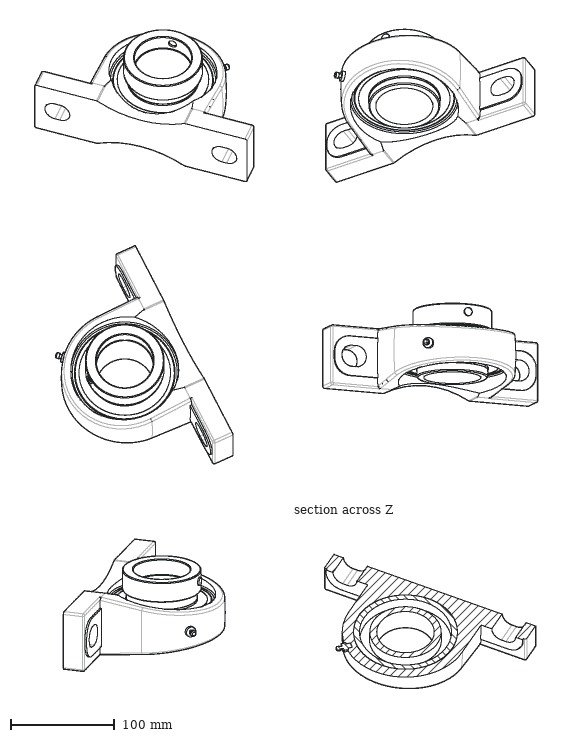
import cadquery as cq
import math


trim_allowance = 2.2

foot_length = 217.5
foot_height = 59.2
foot_bottom_y = -63.5
foot_top_y = -42.5
foot_corner_radius = 2.2
foot_top_radius = 1.7
scoop_floor_z = 18.3
scoop_half_width = 44.8
scoop_edge_radius = 2.6

slot_center_x = 85.5
slot_length = 25.5
slot_width = 20.7
pad_end_x = 105.7
pad_width = 39.0
pad_corner_radius = 16.0
pad_top_y = -40.7

body_radius = 61.3
barrel_radius = 239.2
body_half_height = 24.1
body_edge_radius = 2.6
root_width = 114.8
body_slope = (foot_height / 2 - body_half_height) / -foot_top_y

seat_diameter = 100.0
seat_half_width = 12.5
ledge_diameter = 101.4
opening_diameter = 104.2
opening_floor_z = 13.5
opening_top_z = 43.5

bore_diameter = 55.0
outer_ring_half_width = 12.5
outer_ring_chamfer = 0.7
seal_outer_diameter = 88.3
seal_face_z = 12.8
seal_thickness = 1.7
inner_ring_diameter = 68.5
inner_ring_bottom_z = -22.2
inner_ring_top_z = 27.6
inner_ring_chamfer = 1.0
bore_edge_chamfer = 0.7
shoulder_diameter = 69.4
shoulder_overhang = 1.7

collar_diameter = 76.1
collar_bottom_z = 23.0
collar_top_z = 43.5
collar_chamfer = 0.9
screw_diameter = 8.0
screw_z = 35.5
screw_inner_y = 29.4
screw_outer_y = 39.4

nipple_angle = 45.0
stem_diameter = 5.2
stem_start = 55.5
flange_diameter = 10.0
flange_start = 59.5
flange_end = 64.0
neck_diameter = 4.0
neck_end = 66.5
head_diameter = 5.7
head_end = 70.3
head_chamfer = 1.0


def barrel_half_profile(half_height):
    """XZ outline from the axis out to the slightly barrelled side wall."""
    edge_x = body_radius - barrel_radius + math.sqrt(barrel_radius**2 - half_height**2)
    return (
        cq.Workplane("XZ")
        .moveTo(0, -half_height)
        .lineTo(edge_x, -half_height)
        .threePointArc((body_radius, 0), (edge_x, half_height))
        .lineTo(0, half_height)
        .close()
    )


def make_arched_body():
    """Round top and straight sides, thinning from the foot to the crown."""
    blank_half_height = foot_height / 2 + trim_allowance
    arch = barrel_half_profile(blank_half_height).revolve(360, (0, 0, 0), (0, 1, 0))
    leg = barrel_half_profile(blank_half_height).extrude(-foot_top_y).mirror("YZ", union=True)
    crown_y = body_radius + trim_allowance
    crown_half_height = body_half_height - body_slope * crown_y
    wedge = (
        cq.Workplane("YZ")
        .polyline([
            (foot_top_y, -foot_height / 2),
            (crown_y, -crown_half_height),
            (crown_y, crown_half_height),
            (foot_top_y, foot_height / 2),
        ])
        .close()
        .extrude(foot_length / 2, both=True)
    )
    body = arch.union(leg).intersect(wedge)
    for side in (1, -1):
        sloped_face = cq.selectors.ParallelDirSelector(cq.Vector(0, body_slope, side))
        rim = body.faces(sloped_face).edges("not <Y")
        body = rim.fillet(body_edge_radius)
    return body


def make_scoops(length):
    """Shallow cylinders along Y that hollow both broad sides at the middle."""
    depth = foot_height / 2 - scoop_floor_z
    radius = (scoop_half_width**2 + depth**2) / (2 * depth)
    axis_z = scoop_floor_z + radius
    return (
        cq.Workplane("XZ", origin=(0, foot_bottom_y, 0))
        .pushPoints([(0, axis_z), (0, -axis_z)])
        .circle(radius)
        .extrude(-length)
    )


def make_foot():
    """Base bar with rounded edges and a full-height root under the body, hollowed at mid-length."""
    height_y = foot_top_y - foot_bottom_y
    center_y = (foot_top_y + foot_bottom_y) / 2
    foot = cq.Workplane("XY").box(foot_length, height_y, foot_height).translate((0, center_y, 0))
    foot = foot.edges("|Y").fillet(foot_corner_radius)
    foot = foot.faces(">Y").edges().fillet(foot_top_radius)
    root = cq.Workplane("XY").box(root_width, height_y, foot_height).translate((0, center_y, 0))
    foot = foot.union(root).cut(make_scoops(height_y))
    reach_x = scoop_half_width + trim_allowance
    scoop_zone = cq.selectors.BoxSelector(
        (-reach_x, foot_bottom_y, -foot_height),
        (reach_x, foot_top_y, foot_height),
    )
    return foot.edges("|Y").edges(scoop_zone).fillet(scoop_edge_radius)


def make_pads():
    """Raised pads on top of the foot, running from the body past each slot."""
    pad_height = pad_top_y - foot_top_y
    pad = (
        cq.Workplane("XY")
        .box(2 * pad_end_x, pad_height, pad_width)
        .edges("|Y")
        .fillet(pad_corner_radius)
    )
    return pad.translate((0, foot_top_y + pad_height / 2, 0))


def make_slots():
    """Two elongated bolt holes through the foot and its pads."""
    return (
        cq.Workplane("XZ", origin=(0, foot_bottom_y, 0))
        .pushPoints([(-slot_center_x, 0), (slot_center_x, 0)])
        .slot2D(slot_length, slot_width)
        .extrude(foot_bottom_y - pad_top_y)
    )


def spherical_zone(half_width):
    """Radius of the bearing sphere at the given distance from its middle plane."""
    return math.sqrt((seat_diameter / 2) ** 2 - half_width**2)


def make_bearing_opening():
    """Spherical seat with a stepped, tapered opening on both sides."""
    mouth = spherical_zone(seat_half_width)
    ledge = ledge_diameter / 2
    opening = opening_diameter / 2
    return (
        cq.Workplane("XZ")
        .moveTo(0, -opening_top_z)
        .lineTo(opening, -opening_top_z)
        .lineTo(opening, -opening_floor_z)
        .lineTo(ledge, -seat_half_width)
        .lineTo(mouth, -seat_half_width)
        .threePointArc((seat_diameter / 2, 0), (mouth, seat_half_width))
        .lineTo(ledge, seat_half_width)
        .lineTo(opening, opening_floor_z)
        .lineTo(opening, opening_top_z)
        .lineTo(0, opening_top_z)
        .close()
        .revolve(360, (0, 0, 0), (0, 1, 0))
    )


def make_housing(nipple):
    """Foot and arched body in one piece, bored for the bearing and the grease nipple."""
    body = make_arched_body().union(make_pads()).cut(make_scoops(-foot_bottom_y))
    housing = body.union(make_foot())
    return housing.cut(make_slots()).cut(make_bearing_opening()).cut(nipple)


def make_outer_ring():
    """Ring with a spherical outside that sits in the housing seat."""
    face_radius = spherical_zone(outer_ring_half_width)
    inner = seal_outer_diameter / 2
    ring = (
        cq.Workplane("XZ")
        .moveTo(inner, -outer_ring_half_width)
        .lineTo(face_radius, -outer_ring_half_width)
        .threePointArc((seat_diameter / 2, 0), (face_radius, outer_ring_half_width))
        .lineTo(inner, outer_ring_half_width)
        .close()
        .revolve(360, (0, 0, 0), (0, 1, 0))
    )
    outer_edges = ring.faces("|Z").edges(cq.selectors.RadiusNthSelector(-1))
    return outer_edges.chamfer(outer_ring_chamfer)


def make_seal(side):
    """Flat annular seal between the rings; side is +1 above and -1 below."""
    return (
        cq.Workplane("XY", origin=(0, 0, side * seal_face_z))
        .circle(seal_outer_diameter / 2)
        .circle(shoulder_diameter / 2)
        .extrude(-side * seal_thickness)
    )


def make_inner_ring():
    """Sleeve with a slightly larger shoulder between and just beyond the seals."""
    ring = (
        cq.Workplane("XY", origin=(0, 0, inner_ring_bottom_z))
        .circle(inner_ring_diameter / 2)
        .extrude(inner_ring_top_z - inner_ring_bottom_z)
    )
    ring = ring.faces("<Z").edges().chamfer(inner_ring_chamfer)
    shoulder_half_width = seal_face_z + shoulder_overhang
    shoulder = (
        cq.Workplane("XY", origin=(0, 0, -shoulder_half_width))
        .circle(shoulder_diameter / 2)
        .extrude(2 * shoulder_half_width)
    )
    ring = ring.union(shoulder).faces(">Z").workplane().hole(bore_diameter)
    bore_edge = cq.selectors.RadiusNthSelector(0)
    return ring.faces(">Z").edges(bore_edge).chamfer(bore_edge_chamfer)


def make_collar():
    """Locking collar that fits over the top of the inner ring."""
    collar = (
        cq.Workplane("XY", origin=(0, 0, collar_bottom_z))
        .circle(collar_diameter / 2)
        .circle(bore_diameter / 2)
        .extrude(collar_top_z - collar_bottom_z)
    )
    collar = collar.faces(">Z").edges().chamfer(collar_chamfer)
    outer_edge = cq.selectors.RadiusNthSelector(-1)
    collar = collar.faces("<Z").edges(outer_edge).chamfer(collar_chamfer)
    recess = (
        cq.Workplane("XY", origin=(0, 0, collar_bottom_z))
        .circle(inner_ring_diameter / 2)
        .extrude(inner_ring_top_z - collar_bottom_z)
    )
    screw_hole = (
        cq.Workplane("XZ", origin=(0, 0, screw_z))
        .circle(screw_diameter / 2)
        .extrude(-collar_diameter)
    )
    return collar.cut(recess).cut(screw_hole)


def make_screw():
    """Set screw, short of the bore and standing slightly proud of the collar."""
    return (
        cq.Workplane("XZ", origin=(0, screw_inner_y, screw_z))
        .circle(screw_diameter / 2)
        .extrude(screw_inner_y - screw_outer_y)
    )


def make_nipple():
    """Turned grease nipple pointing outward from the body."""
    nipple = (
        cq.Workplane("XY")
        .moveTo(stem_start, 0)
        .lineTo(stem_start, stem_diameter / 2)
        .lineTo(flange_start, stem_diameter / 2)
        .lineTo(flange_start, flange_diameter / 2)
        .lineTo(flange_end, flange_diameter / 2)
        .lineTo(flange_end, neck_diameter / 2)
        .lineTo(neck_end, neck_diameter / 2)
        .lineTo(neck_end, head_diameter / 2)
        .lineTo(head_end - head_chamfer, head_diameter / 2)
        .lineTo(head_end, head_diameter / 2 - head_chamfer)
        .lineTo(head_end, 0)
        .close()
        .revolve(360, (0, 0, 0), (1, 0, 0))
    )
    return nipple.rotate((0, 0, 0), (0, 0, 1), nipple_angle)


nipple = make_nipple()
housing = make_housing(nipple)
outer_ring = make_outer_ring()
seals = [make_seal(side) for side in (1, -1)]
inner_ring = make_inner_ring()
screw = make_screw()
collar = make_collar()

result = cq.Compound.makeCompound([
    housing.val(),
    outer_ring.val(),
    *[seal.val() for seal in seals],
    inner_ring.val(),
    collar.val(),
    screw.val(),
    nipple.val(),
])